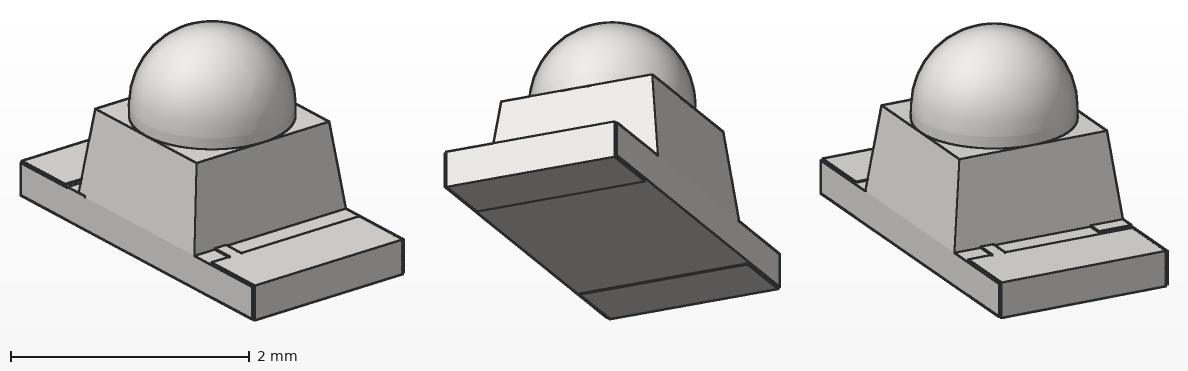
import cadquery as cq
import math

board_length = 3.2
board_width = 1.6
board_thickness = 0.3
foil = 0.01
board_bottom = foil
board_top = board_bottom + board_thickness

terminal_width = 1.56
terminal_length = 0.6
terminal_outer_x = board_length / 2 + foil
terminal_inner_x = terminal_outer_x - terminal_length

trace_width = 0.12
minus_x_trace_offset = 0.49
plus_x_trace_offset = 0.525
trace_inner_x = 0.72

mark_outer_x = 0.95
mark_inner_x = 0.71
mark_depth = 0.31

body_base = 1.6
body_top = 1.4
body_top_z = 1.1
lens_radius = body_top / 2
lens_rim_height = 0.1


def block(x_range, y_range, z_range):
    """Axis-aligned block spanning the given coordinate ranges."""
    size = [high - low for low, high in (x_range, y_range, z_range)]
    corner = (x_range[0], y_range[0], z_range[0])
    return cq.Workplane("XY").box(*size, centered=False).translate(corner)


def make_board():
    half_length = board_length / 2
    half_width = board_width / 2
    return block((-half_length, half_length), (-half_width, half_width), (board_bottom, board_top))


def make_terminal(trace_offset):
    """Foil and enclosed board at the -X end, plus the trace on top at the given Y."""
    half_width = terminal_width / 2
    wrap = block(
        (-terminal_outer_x, -terminal_inner_x),
        (-half_width, half_width),
        (0, board_top + foil),
    )
    trace = block(
        (-terminal_inner_x, -trace_inner_x),
        (trace_offset - trace_width / 2, trace_offset + trace_width / 2),
        (board_top, board_top + foil),
    )
    return wrap.union(trace)


def make_polarity_mark():
    front = -board_width / 2
    return block(
        (-mark_outer_x, -mark_inner_x),
        (front, front + mark_depth),
        (board_top, board_top + foil),
    )


def make_body():
    return (
        cq.Workplane("XY", origin=(0, 0, board_top))
        .rect(body_base, body_base)
        .workplane(offset=body_top_z - board_top)
        .rect(body_top, body_top)
        .loft(ruled=True)
    )


def make_lens():
    """Short cylindrical rim capped by a hemisphere, revolved about Z."""
    rim_top = body_top_z + lens_rim_height
    diagonal = lens_radius * math.cos(math.radians(45))
    return (
        cq.Workplane("XZ")
        .moveTo(0, body_top_z)
        .lineTo(lens_radius, body_top_z)
        .lineTo(lens_radius, rim_top)
        .threePointArc((diagonal, rim_top + diagonal), (0, rim_top + lens_radius))
        .close()
        .revolve(360, (0, 0), (0, 1))
    )


result = make_board().union(make_body()).union(make_lens()).union(make_polarity_mark())
result = result.union(make_terminal(minus_x_trace_offset))
result = result.union(make_terminal(plus_x_trace_offset).rotate((0, 0, 0), (0, 0, 1), 180))